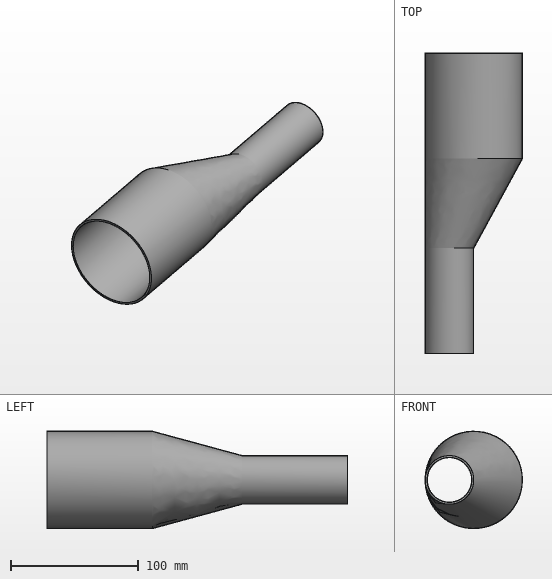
import cadquery as cq

total_length = 235.0
large_diameter = 76.1
small_diameter = 38.0
wall = 1.6
end_length = 82.5

cone_start = end_length
cone_end = total_length - end_length
small_axis_x = (small_diameter - large_diameter) / 2


def circle_at(y, axis_x, diameter):
    """Circle facing +Y, centred at (axis_x, y, 0)."""
    plane = cq.Plane(origin=(axis_x, y, 0), xDir=(1, 0, 0), normal=(0, 1, 0))
    return cq.Workplane(plane).circle(diameter / 2)


def reducer_body(inset):
    """Solid reducer with every radius reduced by inset."""
    small = small_diameter - 2 * inset
    large = large_diameter - 2 * inset
    small_pipe = circle_at(0, small_axis_x, small).extrude(end_length)
    large_pipe = circle_at(cone_end, 0, large).extrude(end_length)
    cone_ends = [
        circle_at(cone_start, small_axis_x, small).val(),
        circle_at(cone_end, 0, large).val(),
    ]
    cone = cq.Workplane(cq.Solid.makeLoft(cone_ends, True))
    return small_pipe.union(cone).union(large_pipe)


result = reducer_body(0).cut(reducer_body(wall))